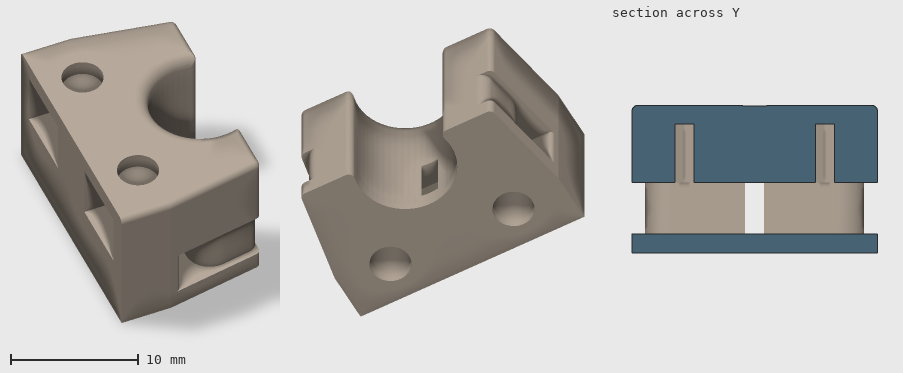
import cadquery as cq
import math

width = 20.0
depth = 12.5
height = 11.6
straight_depth = 4.22
taper_slope = math.tan(math.radians(10.0))
edge_radius = 0.5

bore_radius = 4.1
bore_center_y = 11.0
bore_lip_radius = 1.0

screw_spacing = 11.0
screw_y = 3.33
screw_diameter = 3.3
screw_mouth_depth = 1.3
nut_flats = 5.8
nut_floor = 5.5
nut_height = 4.6

strap_floor = 1.5
strap_height = 4.0
strap_back_y = 5.03
strap_exit_radius = 0.35
core_back_y = 6.97
core_inset = 0.55
core_back_radius = 2.0
core_front_radius = 0.95


def side_x(y):
    """Half width of the tapered part of the block at depth y."""
    return width / 2 - (y - straight_depth) * taper_slope


def make_block():
    half = width / 2
    tip = side_x(depth)
    outline = [
        (-half, 0),
        (half, 0),
        (half, straight_depth),
        (tip, depth),
        (-tip, depth),
        (-half, straight_depth),
    ]
    block = cq.Workplane("XY").polyline(outline).close().extrude(height)
    bore = cq.Workplane("XY").center(0, bore_center_y).circle(bore_radius).extrude(height)
    block = block.cut(bore)
    block = block.edges("|Z and >Y").fillet(edge_radius)
    return block.faces(">Z").edges("not <Y").fillet(edge_radius)


def make_bore_lip():
    """Round cutter that flares the top of the bore outward along a quarter round."""
    start_z = height - bore_lip_radius
    outer_radius = bore_radius + bore_lip_radius
    arc_offset = bore_lip_radius * math.sqrt(0.5)
    return (
        cq.Workplane("XZ")
        .moveTo(0, start_z)
        .lineTo(bore_radius, start_z)
        .threePointArc((outer_radius - arc_offset, start_z + arc_offset), (outer_radius, height))
        .lineTo(0, height)
        .close()
        .revolve(360, (0, 0, 0), (0, 1, 0))
        .translate((0, bore_center_y, 0))
    )


def strap_prism(back_y, front_y, inset):
    """Prism as tall as the channel, its sides parallel to the tapered sides and set in by inset."""
    back = side_x(back_y) - inset
    front = side_x(front_y) - inset
    points = [(-back, back_y), (back, back_y), (front, front_y), (-front, front_y)]
    base = cq.Workplane("XY", origin=(0, 0, strap_floor))
    return base.polyline(points).close().extrude(strap_height)


def cut_strap_channel(body):
    core = strap_prism(core_back_y, depth, core_inset)
    core = core.edges("|Z and <Y").fillet(core_back_radius)
    core = core.edges("|Z and >Y").fillet(core_front_radius)
    channel = strap_prism(strap_back_y, depth, 0).cut(core)
    body = body.cut(channel)
    middle_z = strap_floor + strap_height / 2
    for side in (-1, 1):
        exit_point = (side * side_x(strap_back_y), strap_back_y, middle_z)
        body = body.edges(cq.NearestToPointSelector(exit_point)).fillet(strap_exit_radius)
    return body


def cut_screw(body, x):
    nut_radius = nut_flats / math.sqrt(3)
    half = nut_flats / 2
    points = [
        (x - half, 0),
        (x + half, 0),
        (x + half, screw_y + nut_radius / 2),
        (x, screw_y + nut_radius),
        (x - half, screw_y + nut_radius / 2),
    ]
    pocket = cq.Workplane("XY", origin=(0, 0, nut_floor)).polyline(points).close().extrude(nut_height)
    screw = cq.Workplane("XY").center(x, screw_y)
    shank = screw.circle(screw_diameter / 2).extrude(nut_floor)
    mouth = screw.workplane(offset=height - screw_mouth_depth).circle(screw_diameter / 2)
    mouth = mouth.extrude(screw_mouth_depth)
    return body.cut(pocket).cut(shank).cut(mouth)


result = make_block().cut(make_bore_lip())
result = cut_strap_channel(result)
for side in (-1, 1):
    result = cut_screw(result, side * screw_spacing / 2)